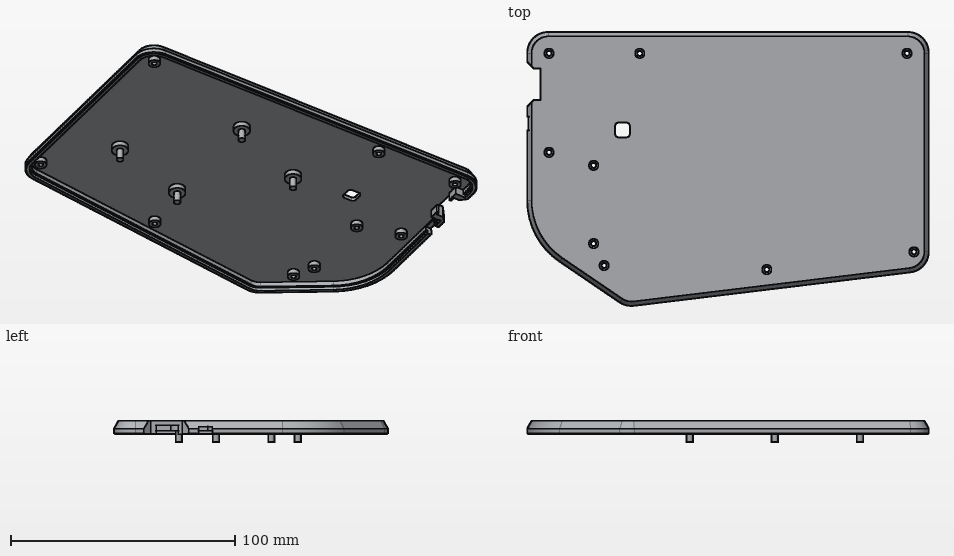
import cadquery as cq
import math


WIDTH = 179.4
DEPTH = 122.4
RIM_HEIGHT = 6.0
PIN_REACH = 3.6

FRONT_ANGLE = math.radians(6.9)
THUMB_ANGLE = math.radians(34.2)
TIP_X = 46.6
CORNER_RADIUS = 9.5
THUMB_RADIUS = 33.0

VERTICAL_HEIGHT = 2.5
SLOPE_FROM_VERTICAL = math.radians(30.0)
TOP_INSET = (RIM_HEIGHT - VERTICAL_HEIGHT) * math.tan(SLOPE_FROM_VERTICAL)
BOTTOM_CHAMFER = 0.5

PLATE_THICKNESS = 2.0
BOARD_THICKNESS = 1.6
RIM_WALL = 2.0
LEDGE_WIDTH = 1.0

NOTCH_CENTER_Y = -23.4
NOTCH_WIDTH = 14.0
NOTCH_DEPTH = 6.0
NOTCH_FLARE = 3.0
NOTCH_BACK_WALL = 1.0
NOTCH_SIDE_WALL = 3.0
PORT_OPENING_WIDTH = 10.0
PORT_OPENING_CENTER_Y = -23.8

SLOT_CENTER_Y = -40.9
SLOT_WIDTH = 6.2
SLOT_HEIGHT = 3.4

WINDOW_CENTER = (42.6, -43.8)
WINDOW_SIZE = 6.5
WINDOW_RADIUS = 1.5

SCREW_DIAMETER = 2.2
COUNTERSINK_DIAMETER = 4.2
COUNTERSINK_DEPTH = (COUNTERSINK_DIAMETER - SCREW_DIAMETER) / 2
SCREW_BOSS_DIAMETER = 5.2
SCREW_POINTS = [
    (9.8, -9.6),
    (50.3, -9.6),
    (169.6, -9.6),
    (9.8, -53.8),
    (29.7, -59.6),
    (29.7, -94.5),
    (34.4, -104.3),
    (107.0, -106.1),
    (172.7, -98.2),
]

PIN_DIAMETER = 3.0
PIN_BOSS_DIAMETER = 7.4
PIN_POINTS = [
    (72.6, -45.6),
    (110.6, -29.0),
    (110.6, -82.1),
    (148.6, -70.3),
]

CEILING = RIM_HEIGHT - PLATE_THICKNESS


def outline_corners():
    """Sharp corners of the outline; the rounded tip touches Y = -DEPTH at X = TIP_X."""
    tip_center_y = CORNER_RADIUS - DEPTH

    def tangent_y(x, angle):
        """Y at x of the line that touches the tip circle from below and rises to the right."""
        return tip_center_y - CORNER_RADIUS / math.cos(angle) + (x - TIP_X) * math.tan(angle)

    thumb_y = tangent_y(0, -THUMB_ANGLE)
    right_y = tangent_y(WIDTH, FRONT_ANGLE)
    tip_x = (thumb_y - tangent_y(0, FRONT_ANGLE)) / (math.tan(FRONT_ANGLE) + math.tan(THUMB_ANGLE))
    tip_y = tangent_y(tip_x, FRONT_ANGLE)
    return [(0, 0), (WIDTH, 0), (WIDTH, right_y), (tip_x, tip_y), (0, thumb_y)]


def rounded_outline():
    """Closed outline wire at Z = 0, with every corner replaced by a tangent arc."""
    corners = outline_corners()
    radii = [CORNER_RADIUS] * (len(corners) - 1) + [THUMB_RADIUS]
    edges = []
    ends = []
    for i, (corner, radius) in enumerate(zip(corners, radii)):
        here = cq.Vector(*corner)
        to_previous = (cq.Vector(*corners[i - 1]) - here).normalized()
        to_next = (cq.Vector(*corners[(i + 1) % len(corners)]) - here).normalized()
        half_angle = to_previous.getAngle(to_next) / 2
        tangent_length = radius / math.tan(half_angle)
        bisector = (to_previous + to_next).normalized()
        start = here + to_previous * tangent_length
        middle = here + bisector * (radius / math.sin(half_angle) - radius)
        end = here + to_next * tangent_length
        edges.append(cq.Edge.makeThreePointArc(start, middle, end))
        ends.append((start, end))
    for i, (start, _) in enumerate(ends):
        edges.append(cq.Edge.makeLine(ends[i - 1][1], start))
    return cq.Wire.combine(edges)[0]


def outline_prism(inset, bottom, top, taper_inset=0.0):
    """Prism of the outline moved in by the inset, narrowing by the taper inset on its way up."""
    height = top - bottom
    taper = math.degrees(math.atan2(taper_inset, height))
    wire = rounded_outline()
    if inset:
        wire = wire.offset2D(-inset)[0]
    return (
        cq.Workplane("XY")
        .add(wire)
        .toPending()
        .extrude(height, taper=taper)
        .translate((0, 0, bottom))
    )


def box_between(x_range, y_center, y_width, z_range):
    """Box spanning the X and Z ranges, centred on y_center."""
    return (
        cq.Workplane("XY")
        .box(x_range[1] - x_range[0], y_width, z_range[1] - z_range[0], centered=(False, True, False))
        .translate((x_range[0], y_center, z_range[0]))
    )


def posts(points, diameter, bottom, top):
    """Round posts at the points."""
    return (
        cq.Workplane("XY", origin=(0, 0, bottom))
        .pushPoints(points)
        .circle(diameter / 2)
        .extrude(top - bottom)
    )


def outer_body():
    """Solid rim block: vertical at the bottom with a small chamfer, sloping inwards above."""
    lower = outline_prism(0, 0, VERTICAL_HEIGHT).faces("<Z").chamfer(BOTTOM_CHAMFER)
    upper = outline_prism(0, VERTICAL_HEIGHT, RIM_HEIGHT, TOP_INSET)
    return lower.union(upper)


def cavity():
    """Board recess at the bottom, a narrower pocket above it, and a wall kept around the notch."""
    board_recess = outline_prism(RIM_WALL, 0, BOARD_THICKNESS)
    pocket = outline_prism(RIM_WALL + LEDGE_WIDTH, BOARD_THICKNESS, CEILING)
    notch_surround = box_between(
        (0, NOTCH_DEPTH + NOTCH_BACK_WALL),
        NOTCH_CENTER_Y,
        NOTCH_WIDTH + 2 * NOTCH_SIDE_WALL,
        (0, CEILING),
    )
    return board_recess.union(pocket).cut(notch_surround)


def port_notch():
    """Notch through the full height, flared at the outer edge."""
    half_width = NOTCH_WIDTH / 2
    half_mouth = half_width + NOTCH_FLARE
    return (
        cq.Workplane("XY")
        .polyline([
            (0, -half_mouth),
            (NOTCH_FLARE, -half_width),
            (NOTCH_DEPTH, -half_width),
            (NOTCH_DEPTH, half_width),
            (NOTCH_FLARE, half_width),
            (0, half_mouth),
        ])
        .close()
        .extrude(RIM_HEIGHT)
        .translate((0, NOTCH_CENTER_Y, 0))
    )


def port_opening():
    """Opening through the wall behind the notch, below the plate."""
    x_range = (NOTCH_DEPTH, NOTCH_DEPTH + NOTCH_BACK_WALL)
    return box_between(x_range, PORT_OPENING_CENTER_Y, PORT_OPENING_WIDTH, (0, CEILING))


def switch_slot():
    """Slot through the left rim, open at the bottom."""
    return box_between((0, RIM_WALL + LEDGE_WIDTH), SLOT_CENTER_Y, SLOT_WIDTH, (0, SLOT_HEIGHT))


def plate_window():
    """Rounded square opening through the plate."""
    return (
        cq.Workplane("XY", origin=(*WINDOW_CENTER, CEILING))
        .rect(WINDOW_SIZE, WINDOW_SIZE)
        .extrude(PLATE_THICKNESS)
        .edges("|Z")
        .fillet(WINDOW_RADIUS)
    )


def screw_holes():
    """Through holes with 45 degree countersinks in the plate's top face."""
    countersink = cq.Solid.makeCone(
        SCREW_DIAMETER / 2,
        COUNTERSINK_DIAMETER / 2,
        COUNTERSINK_DEPTH,
        pnt=cq.Vector(0, 0, RIM_HEIGHT - COUNTERSINK_DEPTH),
    )
    holes = posts(SCREW_POINTS, SCREW_DIAMETER, 0, RIM_HEIGHT)
    for x, y in SCREW_POINTS:
        holes = holes.union(cq.Workplane(countersink.translate(cq.Vector(x, y, 0))))
    return holes


tray = outer_body().cut(cavity())
tray = tray.cut(port_notch()).cut(port_opening()).cut(switch_slot()).cut(plate_window())
tray = tray.union(posts(SCREW_POINTS, SCREW_BOSS_DIAMETER, BOARD_THICKNESS, CEILING))
tray = tray.union(posts(PIN_POINTS, PIN_BOSS_DIAMETER, BOARD_THICKNESS, CEILING))
tray = tray.union(posts(PIN_POINTS, PIN_DIAMETER, -PIN_REACH, BOARD_THICKNESS))
result = tray.cut(screw_holes())